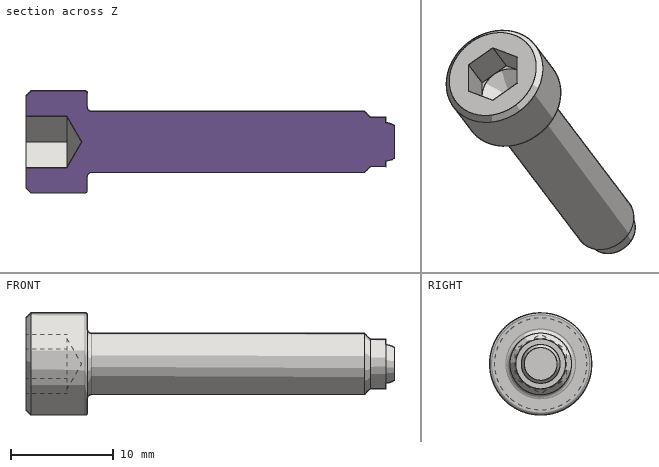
import cadquery as cq
import math

total_length = 36
head_diameter = 10.0
head_length = 6.0
head_chamfer = 0.5
head_back_fillet = 0.2

shank_diameter = 6.0
neck_fillet = 0.4

pilot_diameter = 4.85
pilot_length = 1.5
ball_protrusion = 0.85
ball_radius = 1.9
ball_flat_diameter = 3.2

socket_across_flats = 5.0
socket_depth = 4.0
drill_point_angle = 120

pilot_end = total_length - ball_protrusion
pilot_start = pilot_end - pilot_length


def make_body():
    """Solid of revolution about X; the profile points are (station along X, radius)."""
    head_radius = head_diameter / 2
    shank_radius = shank_diameter / 2
    pilot_radius = pilot_diameter / 2
    flat_radius = ball_flat_diameter / 2

    taper_start = pilot_start - (shank_radius - pilot_radius)

    ball_center = total_length - math.sqrt(ball_radius**2 - flat_radius**2)
    ball_base_radius = math.sqrt(ball_radius**2 - (pilot_end - ball_center) ** 2)
    ball_middle = (pilot_end + total_length) / 2
    ball_middle_radius = math.sqrt(ball_radius**2 - (ball_middle - ball_center) ** 2)

    profile = (
        cq.Workplane("XY")
        .moveTo(0, 0)
        .lineTo(0, head_radius - head_chamfer)
        .lineTo(head_chamfer, head_radius)
        .lineTo(head_length - head_back_fillet, head_radius)
        .radiusArc((head_length, head_radius - head_back_fillet), head_back_fillet)
        .lineTo(head_length, shank_radius + neck_fillet)
        .radiusArc((head_length + neck_fillet, shank_radius), -neck_fillet)
        .lineTo(taper_start, shank_radius)
        .lineTo(pilot_start, pilot_radius)
        .lineTo(pilot_end, pilot_radius)
        .lineTo(pilot_end, ball_base_radius)
        .threePointArc((ball_middle, ball_middle_radius), (total_length, flat_radius))
        .lineTo(total_length, 0)
        .close()
    )
    return profile.revolve(360, (0, 0, 0), (1, 0, 0))


def make_socket():
    """Hexagonal recess with two corners on Z, ending in a cone."""
    corner_diameter = socket_across_flats / math.cos(math.radians(30))
    hexagon = (
        cq.Workplane("YZ")
        .transformed(rotate=(0, 0, 90))
        .polygon(6, corner_diameter)
        .extrude(socket_depth)
    )
    cone_radius = socket_across_flats / 2
    cone_height = cone_radius / math.tan(math.radians(drill_point_angle / 2))
    cone = cq.Solid.makeCone(
        cone_radius, 0, cone_height, pnt=cq.Vector(socket_depth, 0, 0), dir=cq.Vector(1, 0, 0)
    )
    return hexagon.union(cq.Workplane(cone))


result = make_body().cut(make_socket())